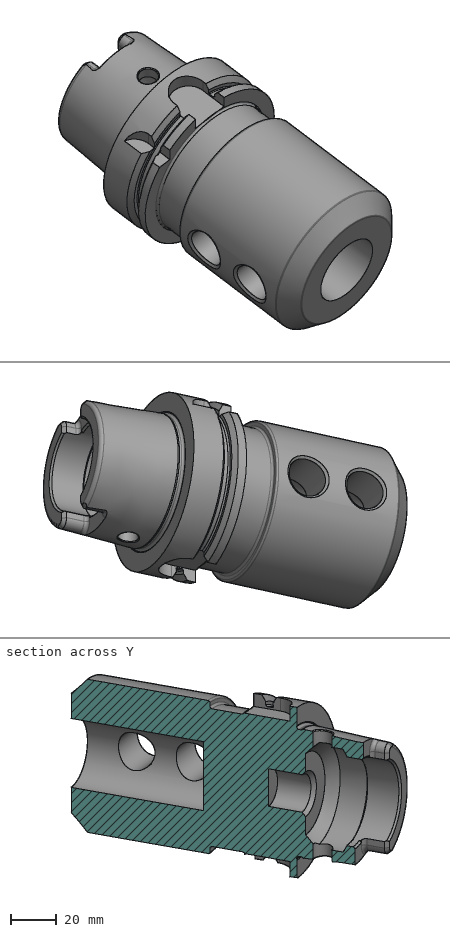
import cadquery as cq
import math

length = 149.9
taper_end = 37.2
flange_face = 40.0
flange_end = 65.7
body_start = 82.5

taper_small_radius = 28.6
taper_large_radius = 30.3
relief_radius = 29.8
flange_radius = 40.0
groove_radius = 35.1
groove_flank_radius = 37.3
neck_radius = 32.4
body_radius = 36.0

shank_rounding = 1.8
neck_fillet = 1.0
body_edge_rounding = 0.9
nose_chamfer = 8.0
nose_edge_rounding = 0.6

relief_lead_in = 0.9
undercut_fillet = 1.2
undercut_depth = 0.3
undercut_rim_radius = 31.5

groove_left = 56.2
groove_right = 59.8
groove_flank_run = 1.8
groove_left_corner = 0.5
groove_right_corner = 0.7

shank_bore_radius = 20.7
shank_bore_chamfer = 0.9
shank_floor_radius = 19.0
shank_floor_x = 36.0
recess_radius = 24.0
recess_start = 16.0
recess_shoulder_angle = 60.0
thread_radius = 8.7
thread_depth = 18.0
thread_chamfer = 1.8

drive_half_width = 7.8
drive_top_depth = 8.0
drive_bottom_depth = 12.0
drive_shoulder = 26.0
drive_shoulder_rounding = 3.7
drive_floor_fillet = 1.8
drive_mouth_chamfer = 1.6

access_hole_x = 27.9
access_hole_radius = 4.5
access_hole_chamfer = 0.5

keyway_start = 43.8
keyway_floor = 33.0
top_keyway_width = 17.7
bottom_keyway_width = 20.0
notch_radius = 8.8
notch_floor = 25.2
notch_wall = 24.7

tool_bore_radius = 16.0
tool_bore_depth = 64.0
screw_last_x = 125.9
screw_spacing = 28.0
screw_count = 2
screw_radius = 8.8
screw_chamfer = 1.2

mouth_margin = 1.5


def disc(x, radius, depth):
    """Cylinder along +X starting at x."""
    return cq.Workplane("YZ", origin=(x, 0, 0)).circle(radius).extrude(depth)


def turned_blank():
    """Solid of revolution carrying the outer outline."""
    diagonal = shank_rounding * (1 - math.sqrt(0.5))
    undercut_bottom = flange_face + undercut_depth
    outline = (
        cq.Workplane("XY")
        .moveTo(0, 0)
        .lineTo(0, taper_small_radius - shank_rounding)
        .threePointArc((diagonal, taper_small_radius - diagonal), (shank_rounding, taper_small_radius))
        .lineTo(taper_end, taper_large_radius)
        .lineTo(taper_end + relief_lead_in, relief_radius)
        .lineTo(undercut_bottom - undercut_fillet, relief_radius)
        .radiusArc((undercut_bottom, relief_radius + undercut_fillet), -undercut_fillet)
        .lineTo(flange_face, undercut_rim_radius)
        .lineTo(flange_face, flange_radius)
        .lineTo(groove_left - groove_flank_run, flange_radius)
        .lineTo(groove_left, groove_flank_radius)
        .lineTo(groove_left, groove_radius + groove_left_corner)
        .lineTo(groove_left + groove_left_corner, groove_radius)
        .lineTo(groove_right - groove_right_corner, groove_radius)
        .lineTo(groove_right, groove_radius + groove_right_corner)
        .lineTo(groove_right, groove_flank_radius)
        .lineTo(groove_right + groove_flank_run, flange_radius)
        .lineTo(flange_end, flange_radius)
        .lineTo(flange_end, neck_radius + neck_fillet)
        .radiusArc((flange_end + neck_fillet, neck_radius), -neck_fillet)
        .lineTo(body_start - neck_fillet, neck_radius)
        .radiusArc((body_start, neck_radius + neck_fillet), -neck_fillet)
        .lineTo(body_start, body_radius - body_edge_rounding)
        .radiusArc((body_start + body_edge_rounding, body_radius), body_edge_rounding)
        .lineTo(length - nose_chamfer, body_radius)
        .lineTo(length, body_radius - nose_chamfer)
        .lineTo(length, 0)
        .close()
    )
    blank = outline.revolve(360, (0, 0, 0), (1, 0, 0))
    return blank.faces("%CONE").faces(">X").edges("%CIRCLE").fillet(nose_edge_rounding)


def shank_bore():
    """Turned cavity: chamfered mouth, clamping recess, sloped floor edge and blind threaded hole."""
    shoulder_run = (recess_radius - shank_bore_radius) / math.tan(math.radians(recess_shoulder_angle))
    floor_slope_run = recess_radius - shank_floor_radius
    outline = (
        cq.Workplane("XY")
        .moveTo(0, 0)
        .lineTo(0, shank_bore_radius + shank_bore_chamfer)
        .lineTo(shank_bore_chamfer, shank_bore_radius)
        .lineTo(recess_start, shank_bore_radius)
        .lineTo(recess_start + shoulder_run, recess_radius)
        .lineTo(shank_floor_x - floor_slope_run, recess_radius)
        .lineTo(shank_floor_x, shank_floor_radius)
        .lineTo(shank_floor_x, thread_radius + thread_chamfer)
        .lineTo(shank_floor_x + thread_chamfer, thread_radius)
        .lineTo(shank_floor_x + thread_depth, thread_radius)
        .lineTo(shank_floor_x + thread_depth, 0)
        .close()
    )
    return outline.revolve(360, (0, 0, 0), (1, 0, 0))


def drive_profile(widening):
    """Slot outline on the shank end, opening over rounded shoulders and grown by widening all round."""
    rounding = drive_shoulder_rounding - widening
    half_width = drive_half_width + widening
    shoulder = drive_shoulder - widening
    outside = taper_large_radius + 1.5
    arc = rounding * (1 - math.sqrt(0.5))
    return (
        cq.Workplane("YZ")
        .moveTo(-half_width, 0)
        .lineTo(half_width, 0)
        .lineTo(half_width, shoulder - rounding)
        .threePointArc((half_width + arc, shoulder - arc), (half_width + rounding, shoulder))
        .lineTo(outside, shoulder)
        .lineTo(outside, outside)
        .lineTo(-outside, outside)
        .lineTo(-outside, shoulder)
        .lineTo(-half_width - rounding, shoulder)
        .threePointArc((-half_width - arc, shoulder - arc), (-half_width, shoulder - rounding))
        .close()
    )


def drive_slot(side, depth):
    """Filleted slot across the shank end with a chamfered mouth; side is +1 for +Z, -1 for -Z."""
    slot = drive_profile(0).extrude(depth).faces(">X").edges().fillet(drive_floor_fillet)
    mouth_start = drive_profile(drive_mouth_chamfer).wires().val()
    mouth_end = drive_profile(0).wires().val().translate(cq.Vector(drive_mouth_chamfer, 0, 0))
    slot = slot.union(cq.Workplane(cq.Solid.makeLoft([mouth_start, mouth_end], True)))
    floor_width = 2 * (drive_half_width - drive_floor_fillet)
    bore_edge = cq.Workplane(cq.Solid.makeCone(
        shank_bore_radius + shank_bore_chamfer, shank_bore_radius, shank_bore_chamfer,
        cq.Vector(depth, 0, 0), cq.Vector(1, 0, 0)))
    upper_sector = cq.Workplane("XY", origin=(depth, 0, 0)).rect(
        2 * shank_bore_chamfer, floor_width).extrude(taper_large_radius)
    slot = slot.union(bore_edge.intersect(upper_sector))
    return slot if side > 0 else slot.rotate((0, 0, 0), (1, 0, 0), 180)


def access_hole():
    """Small cross hole along Z through both shank walls."""
    reach = 2 * flange_radius
    return (cq.Workplane("XY", origin=(access_hole_x, 0, -flange_radius))
            .circle(access_hole_radius).extrude(reach))


def keyway(side, width):
    """Round-ended slot open toward the neck; side is +1 for +Z, -1 for -Z."""
    radius = width / 2
    run = flange_end - keyway_start - radius
    start = cq.Workplane("XY", origin=(keyway_start + radius, 0, side * keyway_floor))
    depth = side * flange_radius
    return start.circle(radius).extrude(depth).union(
        start.center(run / 2, 0).rect(run, width).extrude(depth))


def index_notch():
    """Corner notch milled along Z at the -Y side of the flange."""
    center_y = -notch_wall - notch_radius
    center_x = keyway_start + notch_radius
    run = flange_end - center_x
    plane = cq.Workplane("XY", origin=(center_x, center_y, notch_floor))
    return plane.circle(notch_radius).extrude(flange_radius).union(
        plane.center(run / 2, 0).rect(run, 2 * notch_radius).extrude(flange_radius))


def screw_hole(x):
    """Radial clamping screw hole from -Y into the tool bore."""
    return cq.Workplane("XZ", origin=(x, 0, 0)).circle(screw_radius).extrude(flange_radius)


def mouth_selector(x, radius, direction, surface_radius):
    """Box that holds only the mouth edges of a cross hole where it leaves a surface."""
    half_size = radius + mouth_margin
    center = cq.Vector(x, 0, 0) + direction * surface_radius
    corner = cq.Vector(half_size, half_size, half_size)
    low = center - corner
    high = center + corner
    return cq.selectors.BoxSelector(low.toTuple(), high.toTuple(), boundingbox=True)


up = cq.Vector(0, 0, 1)
front = cq.Vector(0, -1, 0)

result = turned_blank().cut(access_hole())
for direction in (up, -up):
    mouth = mouth_selector(access_hole_x, access_hole_radius, direction, taper_large_radius)
    result = result.edges(mouth).chamfer(access_hole_chamfer)

for index in range(screw_count):
    screw_x = screw_last_x - index * screw_spacing
    result = result.cut(screw_hole(screw_x))
    mouth = mouth_selector(screw_x, screw_radius, front, body_radius)
    result = result.edges(mouth).chamfer(screw_chamfer)

result = result.cut(disc(length - tool_bore_depth, tool_bore_radius, tool_bore_depth))
result = result.cut(shank_bore())
result = result.cut(drive_slot(1, drive_top_depth)).cut(drive_slot(-1, drive_bottom_depth))
result = result.cut(keyway(1, top_keyway_width)).cut(keyway(-1, bottom_keyway_width))
result = result.cut(index_notch())